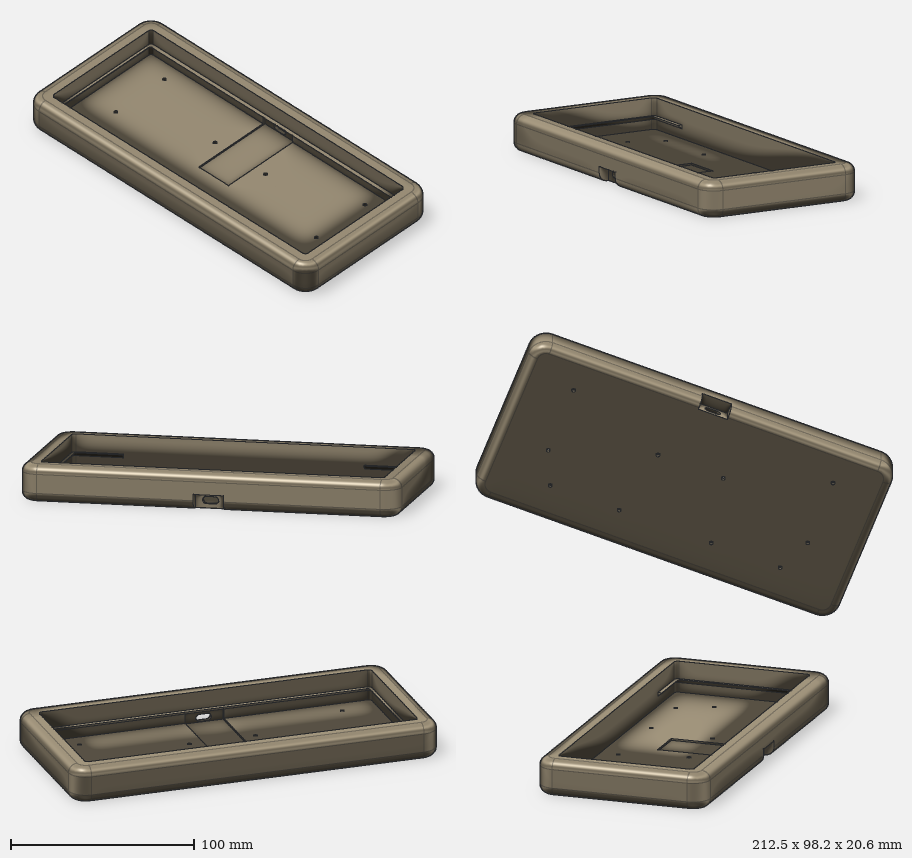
import cadquery as cq
LENGTH = 212.5
WIDTH = 98.2
HEIGHT = 20.6
CORNER_RADIUS = 10.0
EDGE_FILLET = CORNER_RADIUS / 2

RIM_WIDTH = CORNER_RADIUS
POCKET_RADIUS = 2.02
FLOOR_Z = 3.0
POCKET_LENGTH = LENGTH - 2 * RIM_WIDTH
POCKET_WIDTH = WIDTH - 2 * RIM_WIDTH
POCKET_BACK = POCKET_WIDTH / 2

LEDGE_Z = 10.6
LEDGE_DROP = 2.1
LEDGE_SIDE = 2.0
LEDGE_END = 2.5
LEDGE_RADIUS = 1.0
LEDGE_GAP = 135.2
LEDGE_BOTTOM = LEDGE_Z - LEDGE_DROP
OPENING_LENGTH = POCKET_LENGTH - 2 * LEDGE_SIDE
OPENING_WIDTH = POCKET_WIDTH - 2 * LEDGE_END

RECESS_WIDTH = 22.5
RECESS_LENGTH = 50.5
RECESS_DEPTH = 1.0
UNDERCUT_DEPTH = 1.6
RECESS_Z = FLOOR_Z - RECESS_DEPTH
UNDERCUT_BACK = POCKET_BACK + UNDERCUT_DEPTH

PORT_WIDTH = 9.0
PORT_HEIGHT = 4.0
PORT_LENGTH = 2.3
PORT_Z = 4.5
PORT_BACK = UNDERCUT_BACK + PORT_LENGTH

PLUG_WIDTH = 17.0
PLUG_TOP = LEDGE_BOTTOM

SMALL_HOLE = 2.0
LARGE_HOLE = 2.1
HOLE_PAIRS = [
    (76.0, 28.7, SMALL_HOLE),
    (76.0, -9.5, SMALL_HOLE),
    (19.1, 9.5, LARGE_HOLE),
    (67.4, -28.7, SMALL_HOLE),
    (27.0, -28.7, SMALL_HOLE),
]


def block(length, y_front, y_back, z_low, z_high):
    """Box centred on X = 0, between two Y positions and two heights."""
    return cq.Workplane("XY", origin=(0, (y_front + y_back) / 2, z_low)).box(
        length, y_back - y_front, z_high - z_low, centered=(True, True, False)
    )


def rounded_block(length, width, radius, z_low, z_high):
    """Box centred on the Z axis with its upright edges rounded."""
    return block(length, -width / 2, width / 2, z_low, z_high).edges("|Z").fillet(radius)


def rounded_rectangle(length, width, radius):
    return cq.Sketch().rect(length, width).vertices().fillet(radius)


def board_recess():
    """Cutter for the shallow floor recess and the undercut at its back end."""
    floor = block(RECESS_WIDTH, POCKET_BACK - RECESS_LENGTH, POCKET_BACK, RECESS_Z, FLOOR_Z)
    undercut = block(RECESS_WIDTH, POCKET_BACK, UNDERCUT_BACK, RECESS_Z, LEDGE_BOTTOM)
    return floor.union(undercut)


def connector_port():
    """Cutter for the round-ended slot from the undercut to the plug clearance."""
    return (
        cq.Workplane("XZ", origin=(0, PORT_BACK, PORT_Z))
        .slot2D(PORT_WIDTH, PORT_HEIGHT)
        .extrude(PORT_LENGTH)
    )


def plug_clearance():
    """Cutter for the wide notch between the slot and the back of the case."""
    return block(PLUG_WIDTH, PORT_BACK, WIDTH / 2, 0, PLUG_TOP)


def screw_hole_pair(half_spacing, y, diameter):
    """Cutter for two floor holes mirrored about X = 0."""
    return (
        cq.Workplane("XY")
        .pushPoints([(-half_spacing, y), (half_spacing, y)])
        .circle(diameter / 2)
        .extrude(FLOOR_Z)
    )


def make_case():
    """Rounded tray with the board recess, the connector opening and the screw holes."""
    body = rounded_block(LENGTH, WIDTH, CORNER_RADIUS, 0, HEIGHT)
    body = body.faces("<Z or >Z").edges().fillet(EDGE_FILLET)
    body = body.cut(rounded_block(POCKET_LENGTH, POCKET_WIDTH, POCKET_RADIUS, FLOOR_Z, HEIGHT))
    body = body.cut(board_recess()).cut(connector_port()).cut(plug_clearance())
    for half_spacing, y, diameter in HOLE_PAIRS:
        body = body.cut(screw_hole_pair(half_spacing, y, diameter))
    return body


def make_ledge():
    """C-shaped strip of triangular section against the pocket wall, open at the front."""
    strip = rounded_block(POCKET_LENGTH, POCKET_WIDTH, POCKET_RADIUS, LEDGE_BOTTOM, LEDGE_Z)
    lower_outline = rounded_rectangle(POCKET_LENGTH, POCKET_WIDTH, POCKET_RADIUS)
    upper_outline = rounded_rectangle(OPENING_LENGTH, OPENING_WIDTH, LEDGE_RADIUS)
    opening = (
        cq.Workplane("XY", origin=(0, 0, LEDGE_BOTTOM))
        .placeSketch(lower_outline, upper_outline.moved(cq.Location(cq.Vector(0, 0, LEDGE_DROP))))
        .loft()
    )
    gap = block(LEDGE_GAP, -POCKET_WIDTH / 2, -OPENING_WIDTH / 2, LEDGE_BOTTOM, LEDGE_Z)
    return strip.cut(opening).cut(gap)


case = make_case()
ledge = make_ledge()

result = cq.Compound.makeCompound([case.val(), ledge.val()])